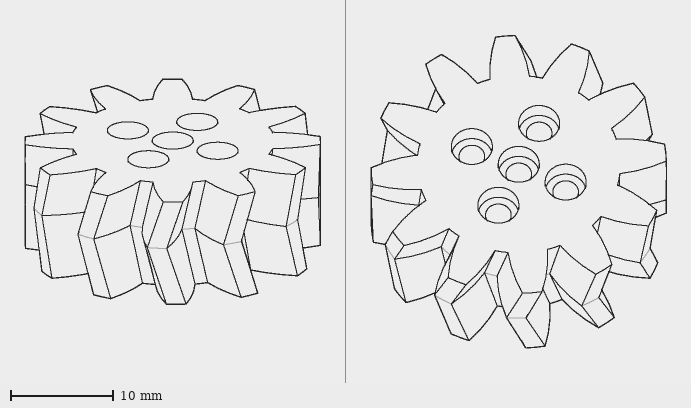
import cadquery as cq
import math

tooth_count = 12
tip_diameter = 28.85
root_diameter = 19.85
height = 11.0
upper_height = 5.0
lower_height = height - upper_height

root_half_angle = 11.3
flank_half_angle = 7.8
tip_half_angle = 3.8

lower_twist = -7.5
upper_twist = -lower_twist * upper_height / lower_height

hole_diameter = 2.5
counterbore_diameter = 4.0
counterbore_depth = 2.0
hole_spacing = 5.0

tip_radius = tip_diameter / 2
root_radius = root_diameter / 2
flank_radius = (tip_radius + root_radius) / 2


def polar(radius, angle):
    """Point at a radius and an angle in degrees."""
    return radius * math.cos(math.radians(angle)), radius * math.sin(math.radians(angle))


def gear_outline(plane, rotation):
    """Closed gear outline, with its first tooth pointing at the rotation angle."""
    pitch = 360 / tooth_count
    outline = plane.moveTo(*polar(root_radius, rotation - root_half_angle))
    for tooth in range(tooth_count):
        axis = rotation + tooth * pitch
        outline = (
            outline
            .threePointArc(polar(flank_radius, axis - flank_half_angle), polar(tip_radius, axis - tip_half_angle))
            .threePointArc(polar(tip_radius, axis), polar(tip_radius, axis + tip_half_angle))
            .threePointArc(polar(flank_radius, axis + flank_half_angle), polar(root_radius, axis + root_half_angle))
            .threePointArc(polar(root_radius, axis + pitch / 2), polar(root_radius, axis + pitch - root_half_angle))
        )
    return outline.close()


lower_gear = gear_outline(cq.Workplane("XY"), 0).twistExtrude(lower_height, lower_twist)
bend_plane = cq.Workplane("XY", origin=(0, 0, lower_height))
upper_gear = gear_outline(bend_plane, lower_twist).twistExtrude(upper_height, upper_twist)
body = lower_gear.union(upper_gear)

hole_centers = [(0, 0)] + [polar(hole_spacing, angle) for angle in (0, 90, 180, 270)]
top_plane = cq.Workplane("XY", origin=(0, 0, height))
holes = top_plane.pushPoints(hole_centers).circle(hole_diameter / 2).extrude(-height)
counterbores = top_plane.pushPoints(hole_centers).circle(counterbore_diameter / 2).extrude(-counterbore_depth)

result = body.cut(holes).cut(counterbores)